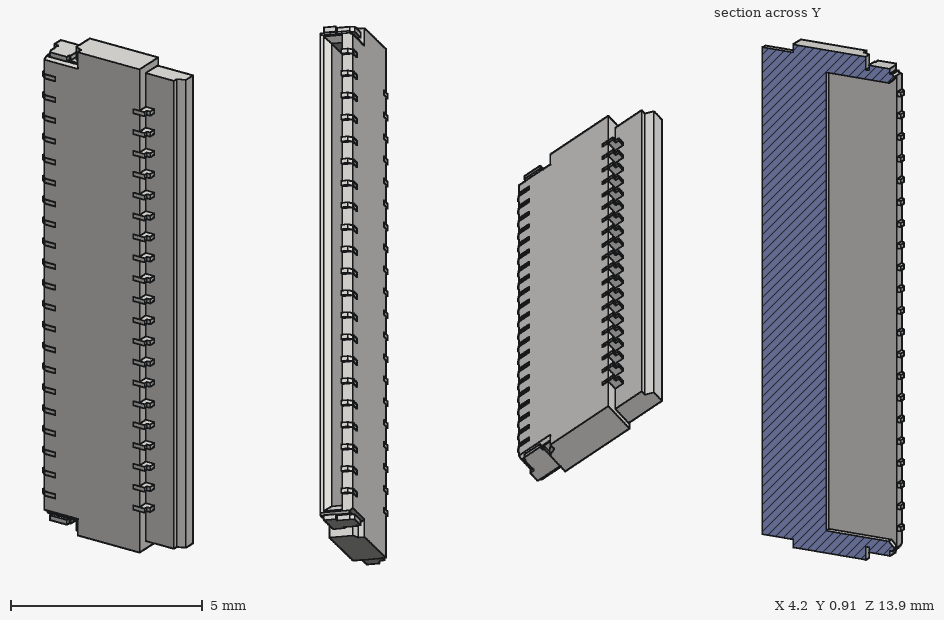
import cadquery as cq

BACK_Y = 0.455
FRONT_Y = -0.44
CONTACT_FRONT_Y = -0.455

HOUSING_LEFT_X = -1.99
HOUSING_RIGHT_X = 0.99
HOUSING_HALF_LENGTH = 6.95
END_HALF_LENGTH = 6.73
SHOULDER_BACK_X = -1.155
SHOULDER_FRONT_X = -0.945
SHOULDER_SLOPE_BACK_Y = -0.19
SHOULDER_SLOPE_FRONT_Y = -0.27
NOSE_HALF_LENGTH = 6.59
NOSE_BEVEL_START_Z = 6.47
NOSE_BEVEL_HEIGHT = 0.07
NOSE_BEVEL_DEPTH = 0.1
NOSE_LEFT_BEVEL_HEIGHT = 0.07
NOSE_LEFT_BEVEL_WIDTH = 0.05

MOUTH_BACK_Y = 0.35
MOUTH_FRONT_Y = -0.145
MOUTH_HALF_LENGTH = 6.48
MOUTH_BEVEL = 0.16
MOUTH_BEVEL_DEPTH = 0.16
MOUTH_DEPTH = 2.0

FITTING_BACK_Y = 0.35
FITTING_STEP_Y = 0.03
FITTING_LEG_LEFT_X = -1.86
FITTING_LEG_RIGHT_X = -1.24
FITTING_TOE_Y = -0.32
FITTING_TOE_LEFT_X = -1.81
FITTING_TOE_RIGHT_X = -1.28

FLAP_RIGHT_X = 2.1
FLAP_BACK_Y = 0.42
FLAP_FRONT_Y = -0.145
FLAP_LIP_X = 1.87
FLAP_LIP_FRONT_Y = -0.01
FLAP_TIP_FRONT_Y = 0.08

PITCH = 0.6
LEFT_CONTACT_COUNT = 21
RIGHT_CONTACT_COUNT = LEFT_CONTACT_COUNT - 1
CONTACT_WIDTH = 0.12
LEFT_CONTACT_LEFT_X = -2.1
LEFT_CONTACT_RIGHT_X = -1.64
LEFT_CONTACT_BACK_Y = -0.16
LEFT_CONTACT_BEND_Y = -0.34
LEFT_CONTACT_TOE_X = -1.97
RIGHT_CONTACT_LEFT_X = 0.8
RIGHT_CONTACT_RIGHT_X = 1.25
RIGHT_CONTACT_TOE_X = 1.15
RIGHT_CONTACT_STEP_Y = -0.33
RIGHT_CONTACT_FRONT_Y = -0.445


def plate(points, z_low, z_high):
    """Extrude an XY outline between two heights."""
    return cq.Workplane("XY").workplane(offset=z_low).polyline(points).close().extrude(z_high - z_low)


def make_housing():
    shoulders = plate(
        [
            (SHOULDER_BACK_X, BACK_Y),
            (HOUSING_RIGHT_X, BACK_Y),
            (HOUSING_RIGHT_X, FRONT_Y),
            (SHOULDER_FRONT_X, FRONT_Y),
            (SHOULDER_FRONT_X, SHOULDER_SLOPE_FRONT_Y),
            (SHOULDER_BACK_X, SHOULDER_SLOPE_BACK_Y),
        ],
        -HOUSING_HALF_LENGTH,
        HOUSING_HALF_LENGTH,
    )
    return shoulders.union(make_nose())


def make_nose():
    """Left part of the housing, with its front end edges stepped back and its left end edges bevelled."""
    bevel_end_z = NOSE_BEVEL_START_Z + NOSE_BEVEL_HEIGHT
    ledge_y = FRONT_Y + NOSE_BEVEL_DEPTH
    nose = (
        cq.Workplane("YZ")
        .workplane(offset=HOUSING_LEFT_X)
        .polyline(
            [
                (BACK_Y, -NOSE_HALF_LENGTH),
                (BACK_Y, NOSE_HALF_LENGTH),
                (ledge_y, NOSE_HALF_LENGTH),
                (ledge_y, bevel_end_z),
                (FRONT_Y, NOSE_BEVEL_START_Z),
                (FRONT_Y, -NOSE_BEVEL_START_Z),
                (ledge_y, -bevel_end_z),
                (ledge_y, -NOSE_HALF_LENGTH),
            ]
        )
        .close()
        .extrude(SHOULDER_FRONT_X - HOUSING_LEFT_X)
    )
    for side in (-1, 1):
        end_z = side * NOSE_HALF_LENGTH
        left_bevel = (
            cq.Workplane("XZ")
            .polyline(
                [
                    (HOUSING_LEFT_X, end_z),
                    (HOUSING_LEFT_X + NOSE_LEFT_BEVEL_WIDTH, end_z),
                    (HOUSING_LEFT_X, end_z - side * NOSE_LEFT_BEVEL_HEIGHT),
                ]
            )
            .close()
            .extrude(HOUSING_HALF_LENGTH, both=True)
        )
        nose = nose.cut(left_bevel)
    return nose


def make_mouth():
    """Slot for the cable, flared at its back wall and at both ends."""
    inner_back_y = MOUTH_BACK_Y - MOUTH_BEVEL
    inner_half_length = MOUTH_HALF_LENGTH - MOUTH_BEVEL

    slot = cq.Workplane("XY").box(
        MOUTH_DEPTH, inner_back_y - MOUTH_FRONT_Y, 2 * inner_half_length, centered=(False, False, True)
    ).translate((HOUSING_LEFT_X, MOUTH_FRONT_Y, 0))

    flare = (
        cq.Workplane("YZ")
        .workplane(offset=HOUSING_LEFT_X)
        .center((MOUTH_BACK_Y + MOUTH_FRONT_Y) / 2, 0)
        .rect(MOUTH_BACK_Y - MOUTH_FRONT_Y, 2 * MOUTH_HALF_LENGTH)
        .workplane(offset=MOUTH_BEVEL_DEPTH)
        .center(-MOUTH_BEVEL / 2, 0)
        .rect(inner_back_y - MOUTH_FRONT_Y, 2 * inner_half_length)
        .loft(ruled=True)
    )
    return slot.union(flare)


def make_fitting(side):
    points = [
        (HOUSING_LEFT_X, FITTING_BACK_Y),
        (SHOULDER_BACK_X, FITTING_BACK_Y),
        (SHOULDER_BACK_X, FITTING_STEP_Y),
        (FITTING_LEG_RIGHT_X, FITTING_STEP_Y),
        (FITTING_LEG_RIGHT_X, FITTING_TOE_Y),
        (FITTING_TOE_RIGHT_X, FITTING_TOE_Y),
        (FITTING_TOE_RIGHT_X, FRONT_Y),
        (FITTING_TOE_LEFT_X, FRONT_Y),
        (FITTING_LEG_LEFT_X, FITTING_TOE_Y),
        (FITTING_LEG_LEFT_X, FITTING_STEP_Y),
        (HOUSING_LEFT_X, FITTING_STEP_Y),
    ]
    z_low, z_high = sorted((side * NOSE_HALF_LENGTH, side * END_HALF_LENGTH))
    return plate(points, z_low, z_high)


def make_flap():
    points = [
        (HOUSING_RIGHT_X, FLAP_BACK_Y),
        (FLAP_RIGHT_X, FLAP_BACK_Y),
        (FLAP_RIGHT_X, FLAP_TIP_FRONT_Y),
        (FLAP_LIP_X, FLAP_LIP_FRONT_Y),
        (FLAP_LIP_X, FLAP_FRONT_Y),
        (HOUSING_RIGHT_X, FLAP_FRONT_Y),
    ]
    return plate(points, -END_HALF_LENGTH, END_HALF_LENGTH)


def contact_row(points, count):
    """Repeat one contact outline along Z, centred on the part."""
    contact = plate(points, -CONTACT_WIDTH / 2, CONTACT_WIDTH / 2).val()
    first_z = -(count - 1) * PITCH / 2
    return [contact.translate(cq.Vector(0, 0, first_z + i * PITCH)) for i in range(count)]


LEFT_CONTACT = [
    (LEFT_CONTACT_LEFT_X, LEFT_CONTACT_BACK_Y),
    (LEFT_CONTACT_RIGHT_X, LEFT_CONTACT_BACK_Y),
    (LEFT_CONTACT_RIGHT_X, CONTACT_FRONT_Y),
    (LEFT_CONTACT_TOE_X, CONTACT_FRONT_Y),
    (LEFT_CONTACT_LEFT_X, LEFT_CONTACT_BEND_Y),
]

RIGHT_CONTACT = [
    (RIGHT_CONTACT_LEFT_X, FLAP_FRONT_Y),
    (RIGHT_CONTACT_RIGHT_X, FLAP_FRONT_Y),
    (RIGHT_CONTACT_RIGHT_X, RIGHT_CONTACT_STEP_Y),
    (RIGHT_CONTACT_TOE_X, RIGHT_CONTACT_STEP_Y),
    (RIGHT_CONTACT_TOE_X, RIGHT_CONTACT_FRONT_Y),
    (RIGHT_CONTACT_LEFT_X, RIGHT_CONTACT_FRONT_Y),
]

body = make_housing().cut(make_mouth()).union(make_flap())
for end in (-1, 1):
    body = body.union(make_fitting(end))

contacts = contact_row(LEFT_CONTACT, LEFT_CONTACT_COUNT) + contact_row(RIGHT_CONTACT, RIGHT_CONTACT_COUNT)
result = cq.Workplane("XY").newObject([body.val().fuse(*contacts)])